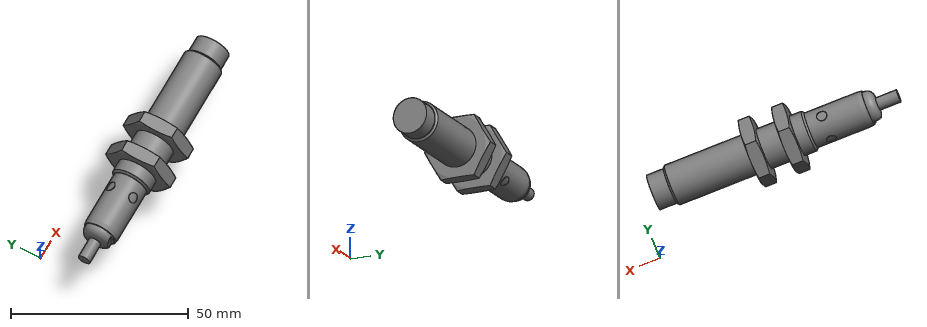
import cadquery as cq

total_length = 74.4

cable_diameter = 3.7
dome_start = 6.3
dome_diameter = 9.4
dome_radius = 2.2
gland_flat_offset = 3.7
gland_flat_end = 8.8

housing_start = 9.2
lip_diameter = 10.1
taper_end = 10.55
housing_diameter = 10.5

barrel_diameter = 12.0
barrel_start = 26.55
barrel_end = 69.25
barrel_chamfer = 0.6

window_diameter = 3.0
window_position = 21.9
window_depth = 0.15
window_count = 4

nut_across_flats = 18.0
nut_thickness = 4.0
nut_positions = (30.7, 40.8)
nut_chamfer_length = 0.4

cable_radius = cable_diameter / 2
gland_radius = dome_diameter / 2
housing_radius = housing_diameter / 2
barrel_radius = barrel_diameter / 2
hex_circumdiameter = nut_across_flats / (3 ** 0.5 / 2)


def disc(x_start, diameter, length):
    """Cylinder on the X axis."""
    return cq.Workplane("YZ", origin=(x_start, 0, 0)).circle(diameter / 2).extrude(length)


def revolved_body():
    """Cable, gland, rear housing, barrel and sensing face in one turned profile."""
    return (
        cq.Workplane("XY")
        .moveTo(0, 0)
        .lineTo(0, cable_radius)
        .lineTo(dome_start, cable_radius)
        .lineTo(dome_start, gland_radius - dome_radius)
        .radiusArc((dome_start + dome_radius, gland_radius), dome_radius)
        .lineTo(housing_start, gland_radius)
        .lineTo(housing_start, lip_diameter / 2)
        .lineTo(taper_end, housing_radius)
        .lineTo(barrel_start, housing_radius)
        .lineTo(barrel_start, barrel_radius - barrel_chamfer)
        .lineTo(barrel_start + barrel_chamfer, barrel_radius)
        .lineTo(barrel_end - barrel_chamfer, barrel_radius)
        .lineTo(barrel_end, barrel_radius - barrel_chamfer)
        .lineTo(barrel_end, housing_radius)
        .lineTo(total_length, housing_radius)
        .lineTo(total_length, 0)
        .close()
        .revolve(360, (0, 0, 0), (1, 0, 0))
    )


def gland_flat_cutter():
    """Block that leaves a flat on the -Y side of the gland."""
    length = gland_flat_end - dome_start
    return (
        cq.Workplane("XY", origin=(dome_start, -gland_flat_offset, 0))
        .box(length, gland_radius, dome_diameter, centered=(False, False, True))
        .translate((0, -gland_radius, 0))
    )


def window_cutter(angle):
    """Round recess with a floor concentric with the housing."""
    drill = (
        cq.Workplane("XY", origin=(window_position, 0, 0))
        .circle(window_diameter / 2)
        .extrude(housing_diameter)
    )
    core = disc(window_position - window_diameter, housing_diameter - 2 * window_depth, 2 * window_diameter)
    return drill.cut(core).rotate((0, 0, 0), (1, 0, 0), angle)


def make_sensor():
    sensor = revolved_body().cut(gland_flat_cutter())
    window_pitch = 360 / window_count
    for index in range(window_count):
        sensor = sensor.cut(window_cutter((index + 0.5) * window_pitch))
    return sensor


def make_nut(x_start):
    """Hexagonal nut with corners on +-Y, turned down conically at both faces."""
    hexagon = (
        cq.Workplane("YZ", origin=(x_start, 0, 0))
        .polygon(6, hex_circumdiameter)
        .extrude(nut_thickness)
    )
    face_radius = nut_across_flats / 2
    corner_radius = hex_circumdiameter / 2
    x_end = x_start + nut_thickness
    envelope = (
        cq.Workplane("XY")
        .moveTo(x_start, 0)
        .lineTo(x_start, face_radius)
        .lineTo(x_start + nut_chamfer_length, corner_radius)
        .lineTo(x_end - nut_chamfer_length, corner_radius)
        .lineTo(x_end, face_radius)
        .lineTo(x_end, 0)
        .close()
        .revolve(360, (0, 0, 0), (1, 0, 0))
    )
    return hexagon.intersect(envelope).cut(disc(x_start, barrel_diameter, nut_thickness))


sensor = make_sensor()
nuts = [make_nut(x_start) for x_start in nut_positions]

result = cq.Compound.makeCompound([sensor.val(), *[nut.val() for nut in nuts]])